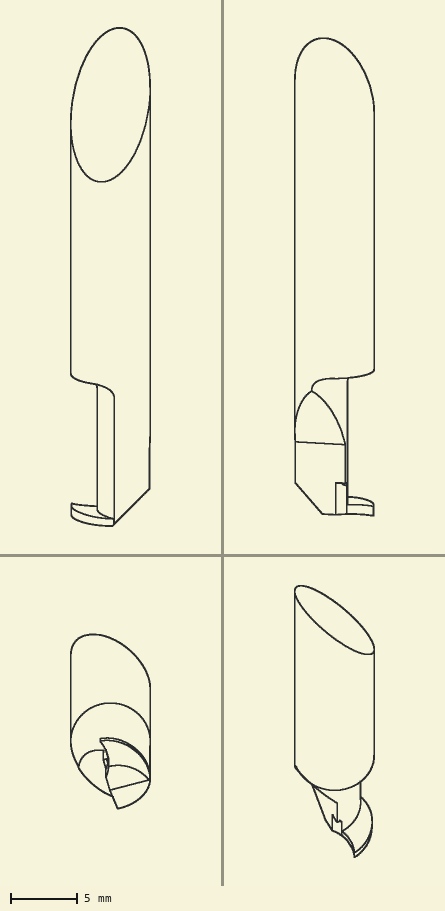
import cadquery as cq
import math

total_length = 37.45
bar_radius = 3.0
bevel_angle = 30.0

neck_radius = 2.95
neck_left = -0.95
neck_axis_x = neck_left + neck_radius
shoulder_height = 11.15
shoulder_fillet = 1.0

flat_y = 0.3
flat_height = 5.45
slope_angle = 28.5

relief_start_x = 0.85
relief_height = 2.32

tip_height = 0.75
tip_face_y = -0.05
tip_heel = (-1.6, -2.32)
tip_end = (1.05, -2.8)
land_length = 0.22
tip_drop = 0.1
bottom_rise = 0.07

groove_height = 2.47
groove_low = (-1.5, -0.25)
groove_end_x = -0.2
groove_corner = 0.3

margin = 1.87


def make_shank_blank():
    """Round bar with a bevelled top and relieved bottom end."""
    bevel_drop = 2 * bar_radius / math.tan(math.radians(bevel_angle))
    side = (
        cq.Workplane("YZ")
        .polyline([
            (-bar_radius, 0),
            (bar_radius, 0),
            (bar_radius, total_length),
            (-bar_radius, total_length - bevel_drop),
        ])
        .close()
        .extrude(bar_radius, both=True)
    )
    bar = cq.Workplane("XY").circle(bar_radius).extrude(total_length)
    return bar.intersect(side).cut(make_corner_relief()).cut(make_bottom_clearance())


def make_corner_relief():
    """Wedge that removes the bottom corner on the +X side."""
    return (
        cq.Workplane("XZ")
        .polyline([(relief_start_x, 0), (bar_radius, 0), (bar_radius, relief_height)])
        .close()
        .extrude(bar_radius + margin, both=True)
    )


def make_bottom_clearance():
    """Thin wedge that tilts the bottom face up towards -Y."""
    return (
        cq.Workplane("YZ")
        .polyline([(0, 0), (-bar_radius, 0), (-bar_radius, bottom_rise)])
        .close()
        .extrude(bar_radius + margin, both=True)
    )


def make_neck_envelope():
    """Revolved neck with a concave fillet, widening above the shoulder."""
    outer_radius = neck_axis_x + bar_radius + margin
    fillet_start = shoulder_height - shoulder_fillet
    arc_offset = shoulder_fillet * (1 - math.sqrt(0.5))
    return (
        cq.Workplane("XZ", origin=(neck_axis_x, 0, 0))
        .lineTo(neck_radius, 0)
        .lineTo(neck_radius, fillet_start)
        .threePointArc(
            (neck_radius + arc_offset, shoulder_height - arc_offset),
            (neck_radius + shoulder_fillet, shoulder_height),
        )
        .lineTo(outer_radius, shoulder_height)
        .lineTo(outer_radius, total_length)
        .lineTo(0, total_length)
        .close()
        .revolve(360, (0, 0), (0, 1))
    )


def make_flat_cutter():
    """Material behind the neck: a flat that slopes out to the bar surface."""
    back_y = bar_radius + margin
    slope_top = flat_height + (back_y - flat_y) / math.tan(math.radians(slope_angle))
    return (
        cq.Workplane("YZ")
        .polyline([(flat_y, 0), (back_y, 0), (back_y, slope_top), (flat_y, flat_height)])
        .close()
        .extrude(bar_radius + margin, both=True)
    )


def make_chip_groove():
    """Concave scoop along Z with a rounded upper end."""
    scoop = (
        cq.Workplane("XY")
        .moveTo(-bar_radius, tip_face_y)
        .threePointArc(groove_low, (groove_end_x, flat_y))
        .lineTo(-bar_radius, flat_y)
        .close()
        .extrude(groove_height)
    )
    floor_y = groove_low[1]
    rounded_end = (
        cq.Workplane("YZ")
        .moveTo(floor_y, 0)
        .lineTo(flat_y, 0)
        .lineTo(flat_y, groove_height)
        .lineTo(floor_y + groove_corner, groove_height)
        .radiusArc((floor_y, groove_height - groove_corner), groove_corner)
        .close()
        .extrude(bar_radius, both=True)
    )
    return scoop.intersect(rounded_end)


def make_tip_blank():
    """Faceted cutting blade, wide enough to run through the neck."""
    flank_middle = (-2.6, -1.3)
    nose_middle = (-0.35, -2.9)
    land_x = -math.sqrt(bar_radius**2 - land_length**2)
    outline = (
        cq.Workplane("XY")
        .moveTo(-bar_radius, tip_face_y)
        .lineTo(land_x, tip_face_y - land_length)
        .threePointArc(flank_middle, tip_heel)
        .threePointArc(nose_middle, tip_end)
        .lineTo(tip_end[0], tip_face_y)
        .close()
        .extrude(tip_height)
    )
    facets = (
        cq.Workplane("XZ")
        .polyline([
            (-bar_radius, 0),
            (tip_end[0], 0),
            (tip_end[0], tip_height - tip_drop),
            (tip_heel[0], tip_height),
            (-bar_radius, tip_height),
        ])
        .close()
        .extrude(bar_radius + margin, both=True)
    )
    return outline.intersect(facets)


def make_holder():
    """Shank and neck in one piece."""
    holder = make_shank_blank().intersect(make_neck_envelope())
    return holder.cut(make_flat_cutter()).cut(make_chip_groove())


def make_cutting_tip(holder):
    """Blade seated against the curved side of the neck."""
    blade = make_tip_blank().cut(make_chip_groove())
    blade = blade.cut(make_corner_relief()).cut(make_bottom_clearance())
    return blade.cut(holder)


holder = make_holder()
cutting_tip = make_cutting_tip(holder)
result = cq.Compound.makeCompound([*holder.vals(), *cutting_tip.vals()])